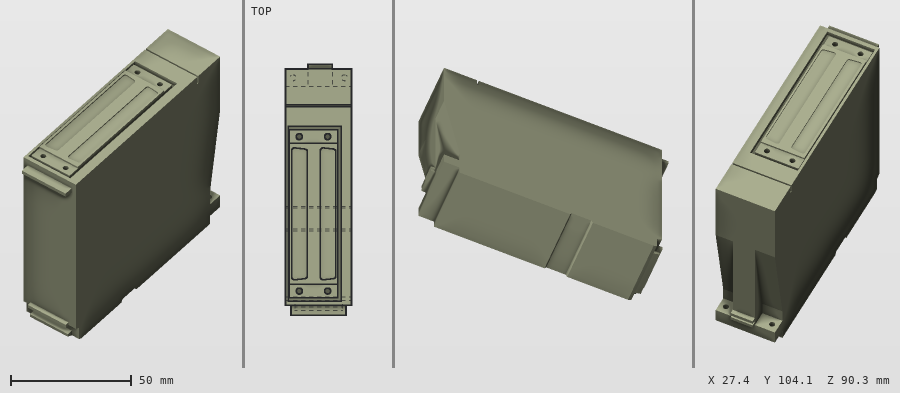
import cadquery as cq

CASE_WIDTH = 27.4
CASE_LENGTH = 98.0
CASE_HEIGHT = 90.0

RECESS_DEPTH = 7.1
LEDGE_BOTTOM = 4.6
LEDGE_TOP = 11.1
SLOPE_BOTTOM = 17.3
SLOPE_TOP = 60.0

FOOT_SETBACK = 2.2
FOOT_TOP = 7.1
FOOT_SLOPE_RISE = 1.0
FOOT_CHAMFER_LENGTH = 1.5
FOOT_CHAMFER_HEIGHT = 0.7

GROOVE_START = 31.0
GROOVE_LENGTH = 10.2
GROOVE_DEPTH = 1.5
GROOVE_TAPER = 0.7

CAP_LENGTH = 14.9
SLIT_WIDTH = 0.7
SLIT_DEPTH = 4.1

UPPER_TAB_REACH = 4.1
UPPER_TAB_WIDTH = 22.9
UPPER_TAB_ROOT_BOTTOM = 84.0
UPPER_TAB_TIP_BOTTOM = 85.0
UPPER_TAB_TOP = 86.6
LOWER_TAB_WIDTH = 19.9
MIDDLE_TAB_REACH = 2.0
MIDDLE_TAB_THICKNESS = 1.6
FOOT_TAB_REACH = 0.5
FOOT_TAB_TIP_BOTTOM = 1.9
FOOT_TAB_TOP = 3.3

TERMINAL_LEFT = 9.3
TERMINAL_WIDTH = 10.2
BLADE_REACH = 2.0
BLADE_THICKNESS = 1.6
LOWER_BLADE_BOTTOM = 11.4
BLADE_PITCH = 2.6

INSERT_CENTER_Y = 38.0
POCKET_LEFT = 1.1
POCKET_WIDTH = 22.0
POCKET_LENGTH = 72.5
POCKET_DEPTH = 2.1
INSERT_LEFT = 1.6
INSERT_WIDTH = 20.1
INSERT_LENGTH = 69.5
EAR_DROP = 0.5
CENTER_LENGTH = 58.3
CENTER_RISE = 0.3

SLOT_LEFT = 2.6
SLOT_PITCH = 11.9
SLOT_WIDTH = 6.5
SLOT_LENGTH = 54.9
SLOT_END_TAPER = 0.7
SLOT_DEPTH = 0.6
SLOT_CORNER_RADIUS = 1.1

HOLE_DIAMETER = 2.5
HOLE_DEPTH = 5.2
EAR_HOLE_PITCH_Y = 64.0
EAR_HOLE_LEFT = 5.7
EAR_HOLE_PITCH_X = 11.8
LEDGE_HOLE_INSET = 3.0

OVERLAP = 1.0


def box(x, y, z, dx, dy, dz):
    return cq.Workplane("XY").box(dx, dy, dz, centered=False).translate((x, y, z))


def side_extrusion(points, left, width):
    """Extrude a (Y, Z) outline along X, starting at X = left."""
    return cq.Workplane("YZ", origin=(left, 0, 0)).polyline(points).close().extrude(width)


def hole(x, y, top):
    drill = cq.Workplane("XY", origin=(x, y, top))
    return drill.circle(HOLE_DIAMETER / 2).extrude(-HOLE_DEPTH)


def case():
    recess_floor = CASE_LENGTH - RECESS_DEPTH
    groove_end = GROOVE_START + GROOVE_LENGTH
    slit_rear = CASE_LENGTH - CAP_LENGTH
    slit_front = slit_rear - SLIT_WIDTH
    slit_floor = CASE_HEIGHT - SLIT_DEPTH
    outline = [
        (0, CASE_HEIGHT),
        (0, FOOT_TOP + FOOT_SLOPE_RISE),
        (FOOT_SETBACK, FOOT_TOP),
        (FOOT_SETBACK, FOOT_CHAMFER_HEIGHT),
        (FOOT_SETBACK + FOOT_CHAMFER_LENGTH, 0),
        (GROOVE_START, 0),
        (GROOVE_START + GROOVE_TAPER, GROOVE_DEPTH),
        (groove_end - GROOVE_TAPER, GROOVE_DEPTH),
        (groove_end, 0),
        (recess_floor, 0),
        (recess_floor, LEDGE_BOTTOM),
        (CASE_LENGTH, LEDGE_BOTTOM),
        (CASE_LENGTH, LEDGE_TOP),
        (recess_floor, LEDGE_TOP),
        (recess_floor, SLOPE_BOTTOM),
        (CASE_LENGTH, SLOPE_TOP),
        (CASE_LENGTH, CASE_HEIGHT),
        (slit_rear, CASE_HEIGHT),
        (slit_rear, slit_floor),
        (slit_front, slit_floor),
        (slit_front, CASE_HEIGHT),
    ]
    return side_extrusion(outline, 0, CASE_WIDTH)


def ledge_holes():
    y = CASE_LENGTH - RECESS_DEPTH / 2
    left = hole(LEDGE_HOLE_INSET, y, LEDGE_TOP)
    right = hole(CASE_WIDTH - LEDGE_HOLE_INSET, y, LEDGE_TOP)
    return left.union(right)


def front_tabs():
    upper_left = (CASE_WIDTH - UPPER_TAB_WIDTH) / 2
    lower_left = (CASE_WIDTH - LOWER_TAB_WIDTH) / 2
    upper = side_extrusion(
        [
            (OVERLAP, UPPER_TAB_TOP),
            (-UPPER_TAB_REACH, UPPER_TAB_TOP),
            (-UPPER_TAB_REACH, UPPER_TAB_TIP_BOTTOM),
            (0, UPPER_TAB_ROOT_BOTTOM),
            (OVERLAP, UPPER_TAB_ROOT_BOTTOM),
        ],
        upper_left,
        UPPER_TAB_WIDTH,
    )
    middle = box(
        lower_left, -MIDDLE_TAB_REACH, FOOT_TOP + FOOT_SLOPE_RISE,
        LOWER_TAB_WIDTH, MIDDLE_TAB_REACH + OVERLAP, MIDDLE_TAB_THICKNESS,
    )
    foot = side_extrusion(
        [
            (FOOT_SETBACK + OVERLAP, FOOT_TAB_TOP),
            (-FOOT_TAB_REACH, FOOT_TAB_TOP),
            (-FOOT_TAB_REACH, FOOT_TAB_TIP_BOTTOM),
            (FOOT_SETBACK, FOOT_CHAMFER_HEIGHT),
            (FOOT_SETBACK + OVERLAP, FOOT_CHAMFER_HEIGHT),
        ],
        lower_left,
        LOWER_TAB_WIDTH,
    )
    return upper.union(middle).union(foot)


def rear_terminal():
    block = box(
        TERMINAL_LEFT, CASE_LENGTH - RECESS_DEPTH, LEDGE_TOP,
        TERMINAL_WIDTH, RECESS_DEPTH, SLOPE_TOP - LEDGE_TOP,
    )
    for index in range(2):
        blade_bottom = LOWER_BLADE_BOTTOM + index * BLADE_PITCH
        blade = box(
            TERMINAL_LEFT, CASE_LENGTH - OVERLAP, blade_bottom,
            TERMINAL_WIDTH, BLADE_REACH + OVERLAP, BLADE_THICKNESS,
        )
        block = block.union(blade)
    return block


def top_pocket():
    front = INSERT_CENTER_Y - POCKET_LENGTH / 2
    floor = CASE_HEIGHT - POCKET_DEPTH
    return box(POCKET_LEFT, front, floor, POCKET_WIDTH, POCKET_LENGTH, POCKET_DEPTH)


def connector_slot(left):
    top = CASE_HEIGHT + CENTER_RISE
    long_half = SLOT_LENGTH / 2
    short_half = long_half - SLOT_END_TAPER
    right = left + SLOT_WIDTH
    outline = [
        (left, INSERT_CENTER_Y - long_half),
        (right, INSERT_CENTER_Y - short_half),
        (right, INSERT_CENTER_Y + short_half),
        (left, INSERT_CENTER_Y + long_half),
    ]
    slot = cq.Workplane("XY", origin=(0, 0, top)).polyline(outline).close().extrude(-SLOT_DEPTH)
    return slot.edges("|Z").fillet(SLOT_CORNER_RADIUS)


def connector_insert():
    base = CASE_HEIGHT - POCKET_DEPTH - OVERLAP
    ear_top = CASE_HEIGHT - EAR_DROP
    insert = box(
        INSERT_LEFT, INSERT_CENTER_Y - INSERT_LENGTH / 2, base,
        INSERT_WIDTH, INSERT_LENGTH, ear_top - base,
    )
    center = box(
        INSERT_LEFT, INSERT_CENTER_Y - CENTER_LENGTH / 2, base,
        INSERT_WIDTH, CENTER_LENGTH, CASE_HEIGHT + CENTER_RISE - base,
    )
    insert = insert.union(center)
    for column in range(2):
        insert = insert.cut(connector_slot(SLOT_LEFT + column * SLOT_PITCH))
    return insert


def ear_holes():
    holes = cq.Workplane("XY")
    for column in range(2):
        for side in (-1, 1):
            x = EAR_HOLE_LEFT + column * EAR_HOLE_PITCH_X
            y = INSERT_CENTER_Y + side * EAR_HOLE_PITCH_Y / 2
            holes = holes.add(hole(x, y, CASE_HEIGHT - EAR_DROP))
    return holes.combine()


result = (
    case()
    .union(front_tabs())
    .union(rear_terminal())
    .cut(ledge_holes())
    .cut(top_pocket())
    .union(connector_insert())
    .cut(ear_holes())
)